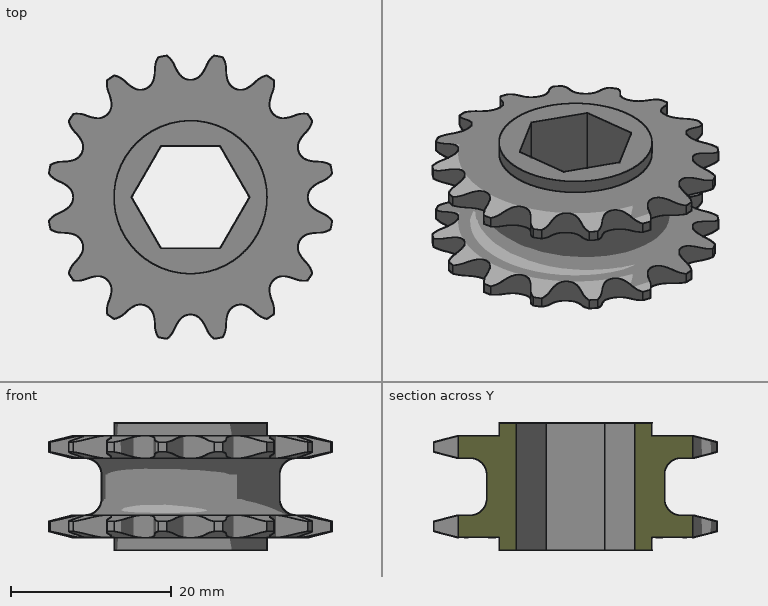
import cadquery as cq
import math


total_height = 15.85
hub_step = 1.6
plate_thickness = 2.82
tip_thickness = 1.25

hub_diameter = 19.05
drum_diameter = 22.2
outer_diameter = 35.75
drum_fillet = 2.0
bore_across_flats = 12.7

tooth_count = 16
pitch_diameter = 32.58
roller_diameter = 3.3
seat_clearance = 0.018

pitch_radius = pitch_diameter / 2
outer_radius = outer_diameter / 2
seat_radius = 0.5025 * roller_diameter + seat_clearance
root_radius = pitch_radius - seat_radius
seat_angle = math.radians(35 + 60 / tooth_count)
working_sweep = math.radians(18 - 56 / tooth_count)
topping_angle = math.radians(17 - 64 / tooth_count)
working_offset = 0.8 * roller_diameter
working_radius = working_offset + seat_radius
topping_offset = 1.4 * roller_diameter
flank_length = topping_offset * math.sin(topping_angle) - working_offset * math.sin(working_sweep)
topping_radius = (
    working_offset * math.cos(working_sweep)
    + topping_offset * math.cos(topping_angle)
    - working_radius
)

tip_clearance = 0.07
gap_outer_radius = outer_radius + tip_clearance


def polar(center, radius, angle):
    """Point at the given distance and angle from a center."""
    return (center[0] + radius * math.cos(angle), center[1] + radius * math.sin(angle))


def mirrored(point):
    """The same point on the other side of the gap, which is symmetric about the X axis."""
    return (point[0], -point[1])


def make_body():
    """Turned body: two plates tapered beyond the root circle, a filleted drum and two hub steps."""
    top = total_height / 2
    plate_top = top - hub_step
    plate_bottom = plate_top - plate_thickness
    plate_middle = plate_top - plate_thickness / 2
    tip_top = plate_middle + tip_thickness / 2
    tip_bottom = plate_middle - tip_thickness / 2

    hub_radius = hub_diameter / 2
    drum_radius = drum_diameter / 2
    fillet_outer_radius = drum_radius + drum_fillet
    fillet_end = plate_bottom - drum_fillet
    arc_middle = polar((fillet_outer_radius, fillet_end), drum_fillet, math.radians(135))

    return (
        cq.Workplane("XZ")
        .moveTo(0, top)
        .lineTo(hub_radius, top)
        .lineTo(hub_radius, plate_top)
        .lineTo(root_radius, plate_top)
        .lineTo(outer_radius, tip_top)
        .lineTo(outer_radius, tip_bottom)
        .lineTo(root_radius, plate_bottom)
        .lineTo(fillet_outer_radius, plate_bottom)
        .threePointArc(arc_middle, (drum_radius, fillet_end))
        .lineTo(drum_radius, -fillet_end)
        .threePointArc((arc_middle[0], -arc_middle[1]), (fillet_outer_radius, -plate_bottom))
        .lineTo(root_radius, -plate_bottom)
        .lineTo(outer_radius, -tip_bottom)
        .lineTo(outer_radius, -tip_top)
        .lineTo(root_radius, -plate_top)
        .lineTo(hub_radius, -plate_top)
        .lineTo(hub_radius, -top)
        .lineTo(0, -top)
        .close()
        .revolve(360, (0, 0, 0), (0, 1, 0))
    )


def make_tooth_gap():
    """Cutter for one gap between teeth, centered on +X and running the full height."""
    roller_center = (pitch_radius, 0)

    seat_end_angle = math.pi / 2 + seat_angle
    working_center = polar(roller_center, working_offset, seat_end_angle - math.pi)
    seat_end = polar(roller_center, seat_radius, seat_end_angle)
    working_middle = polar(working_center, working_radius, seat_end_angle - working_sweep / 2)
    flank_normal = seat_end_angle - working_sweep
    flank_start = polar(working_center, working_radius, flank_normal)
    flank_end = polar(flank_start, flank_length, flank_normal - math.pi / 2)
    topping_center = polar(flank_end, topping_radius, flank_normal)

    center_distance = math.hypot(*topping_center)
    center_angle = math.atan2(topping_center[1], topping_center[0])
    spread = math.acos(
        (center_distance**2 + gap_outer_radius**2 - topping_radius**2)
        / (2 * center_distance * gap_outer_radius)
    )
    tip = polar((0, 0), gap_outer_radius, center_angle - spread)
    start_angle = flank_normal - math.pi
    tip_angle = math.atan2(tip[1] - topping_center[1], tip[0] - topping_center[0])
    topping_middle = polar(topping_center, topping_radius, (start_angle + tip_angle) / 2)

    return (
        cq.Workplane("XY")
        .moveTo(*tip)
        .threePointArc(topping_middle, flank_end)
        .lineTo(*flank_start)
        .threePointArc(working_middle, seat_end)
        .threePointArc((root_radius, 0), mirrored(seat_end))
        .threePointArc(mirrored(working_middle), mirrored(flank_start))
        .lineTo(*mirrored(flank_end))
        .threePointArc(mirrored(topping_middle), mirrored(tip))
        .threePointArc((gap_outer_radius, 0), tip)
        .close()
        .extrude(total_height / 2, both=True)
    )


def make_bore():
    """Through hexagon with two corners on the X axis."""
    across_corners = bore_across_flats / math.cos(math.radians(30))
    return cq.Workplane("XY").polygon(6, across_corners).extrude(total_height / 2, both=True)


result = make_body().cut(make_bore())
tooth_gap = make_tooth_gap()
for index in range(tooth_count):
    result = result.cut(tooth_gap.rotate((0, 0, 0), (0, 0, 1), index * 360 / tooth_count))